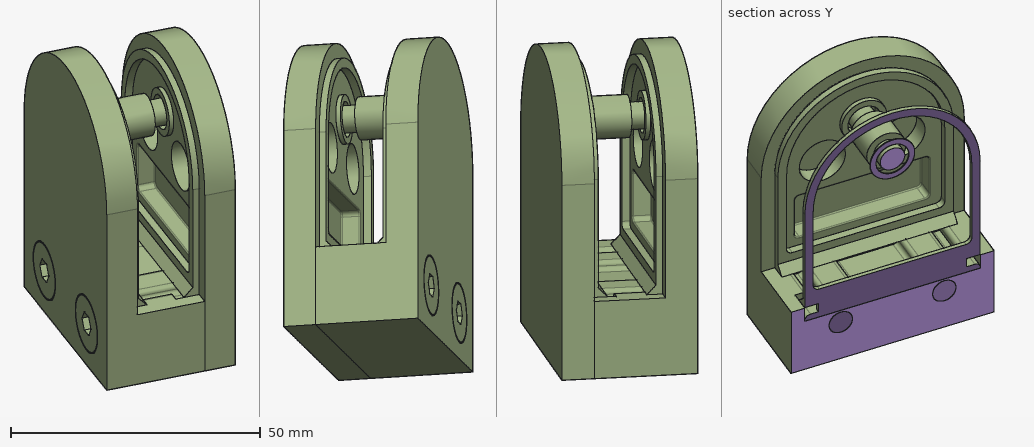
import cadquery as cq
import math

width = 45.0
height = 63.0
depth = 27.7
half_width = width / 2
half_depth = depth / 2
plate_thickness = 6.6
arch_z = height - half_width
slot_half = half_depth - plate_thickness
seat_depth = 0.25
seat_y = slot_half + seat_depth
floor_z = 16.05

gasket_half_width = 19.45
gasket_stand_out = 1.4
frame_inner_half_width = 17.5
frame_opening_z = 19.9
frame_corner_radius = 1.25
foot_size = 1.9
web_drop = 2.0
web_thickness = 1.4
web_half_width = 16.45
web_end_radius = 1.25
web_top_z = floor_z - web_drop
web_bottom_z = web_top_z - web_thickness
bump_x = 10.6
bump_half_flat = 2.5
bump_radius = web_drop / 2

tab_back_y = 2.2
tab_edge_radius = 1.15

pin_z = 47.95
pin_radius = 2.8
pin_insertion = 3.15
collar_radius = 4.35
collar_half_length = 3.8
boss_radius = 5.0
boss_height = 0.95
boss_bore_radius = 3.6
boss_bore_depth = 2.5

pocket_depth = 3.9
round_pocket_radius = 5.1
round_pocket_x = 8.8
round_pocket_z = 39.95
window_half_width = 14.9
window_bottom_z = 21.9
window_top_z = 32.7
window_corner_radius = 1.0
window_edge_radius = 0.25

screw_x = 11.45
screw_z = 9.5
head_radius = 5.85
head_bore_radius = 6.1
head_depth = 3.15
shank_radius = 2.5
screw_length = 23.95
socket_flats = 4.2
socket_depth = 2.5
socket_cone_depth = 1.25


def arch(y_start, y_end, half, bottom_z):
    """Round-topped slab between two Y planes."""
    return (
        cq.Workplane("XZ", origin=(0, y_start, 0))
        .moveTo(-half, bottom_z)
        .lineTo(-half, arch_z)
        .threePointArc((0, arch_z + half), (half, arch_z))
        .lineTo(half, bottom_z)
        .close()
        .extrude(y_start - y_end)
    )


def box(x_half, y_start, y_end, z_start, z_end):
    """Block centred on X = 0."""
    block = cq.Workplane("XY").box(
        2 * x_half, y_end - y_start, z_end - z_start, centered=(True, False, False)
    )
    return block.translate((0, y_start, z_start))


def rod(x, z, radius, y_start, y_end):
    """Round bar along Y."""
    return cq.Workplane("XZ", origin=(x, y_start, z)).circle(radius).extrude(y_start - y_end)


def mirrored(shape):
    return shape.mirror("XZ")


def gasket_seat():
    return arch(slot_half, seat_y, gasket_half_width, floor_z)


def face_boss():
    return rod(0, pin_z, boss_radius, seat_y - boss_height, seat_y)


def pin_hole():
    bore_start_y = seat_y - boss_height
    bore_end_y = bore_start_y + boss_bore_depth
    bore = rod(0, pin_z, boss_bore_radius, bore_start_y, bore_end_y)
    seat = rod(0, pin_z, pin_radius, bore_end_y, bore_end_y + pin_insertion)
    return bore.union(seat)


def cut_window(plate):
    pocket = box(window_half_width, seat_y, seat_y + pocket_depth, window_bottom_z, window_top_z)
    pocket = pocket.edges("|Y").fillet(window_corner_radius).faces(">Y").edges().fillet(window_edge_radius)
    mouth_edge = cq.selectors.NearestToPointSelector((0, seat_y, window_bottom_z))
    return plate.cut(pocket).edges(mouth_edge).fillet(window_edge_radius)


def shape_inner_face(plate):
    """Seat, boss, pin hole and pockets on the inner face of a plate at +Y."""
    plate = plate.cut(gasket_seat()).union(face_boss()).cut(pin_hole())
    for side in (-1, 1):
        plate = plate.cut(
            rod(side * round_pocket_x, round_pocket_z, round_pocket_radius, seat_y, seat_y + pocket_depth)
        )
    return cut_window(plate)


def screw_holes():
    holes = cq.Workplane("XY")
    for side in (-1, 1):
        x = side * screw_x
        holes = holes.add(rod(x, screw_z, head_bore_radius, -half_depth, head_depth - half_depth))
        holes = holes.add(rod(x, screw_z, shank_radius, -half_depth, screw_length - half_depth))
    return holes.combine()


def web_recess():
    """Space in the base for the gasket web, narrowed by a tab at each side."""
    wide = box(gasket_half_width, tab_back_y, slot_half, web_bottom_z, floor_z)
    narrow = box(web_half_width, -slot_half, tab_back_y, web_bottom_z, floor_z)
    return wide.union(narrow)


def make_body():
    front_plate = mirrored(shape_inner_face(arch(slot_half, half_depth, half_width, 0)))
    base = box(half_width, -slot_half, slot_half, 0, floor_z).cut(web_recess())
    for side in (-1, 1):
        tab_edge = cq.selectors.NearestToPointSelector((side * web_half_width, 0, floor_z))
        base = base.edges("|Y").edges(tab_edge).fillet(tab_edge_radius)
    return front_plate.union(base).cut(screw_holes())


def make_cover():
    cover = arch(slot_half, half_depth, half_width, 0)
    return shape_inner_face(cover).cut(screw_holes())


def gasket_frame():
    """Frame on the cover side with its foot and the riser down to the web."""
    inner_y = slot_half - gasket_stand_out
    frame = arch(inner_y, seat_y, gasket_half_width, floor_z)
    opening = arch(inner_y, seat_y, frame_inner_half_width, frame_opening_z)
    frame = frame.cut(opening.edges("|Y and <Z").fillet(frame_corner_radius))
    foot = (
        cq.Workplane("YZ", origin=(-gasket_half_width, 0, 0))
        .moveTo(inner_y, floor_z)
        .lineTo(inner_y - foot_size, floor_z)
        .lineTo(inner_y, floor_z + foot_size)
        .close()
        .extrude(2 * gasket_half_width)
    )
    riser = box(web_half_width, inner_y, slot_half, web_bottom_z, floor_z)
    return frame.union(foot).union(riser)


def web_bump(x):
    """Raised strip along Y with S-shaped flanks."""
    flank = bump_half_flat + bump_radius
    bend = bump_radius * math.sqrt(0.5)
    outer = bump_half_flat + 2 * bump_radius
    mid_z = web_top_z + bump_radius
    return (
        cq.Workplane("XZ", origin=(x, -slot_half, 0))
        .moveTo(-outer, web_top_z)
        .threePointArc((-outer + bend, mid_z - bend), (-flank, mid_z))
        .threePointArc((-bump_half_flat - bend, mid_z + bend), (-bump_half_flat, floor_z))
        .lineTo(bump_half_flat, floor_z)
        .threePointArc((bump_half_flat + bend, mid_z + bend), (flank, mid_z))
        .threePointArc((outer - bend, mid_z - bend), (outer, web_top_z))
        .close()
        .extrude(-2 * slot_half)
    )


def make_gasket():
    web = box(web_half_width, -slot_half, slot_half, web_bottom_z, web_top_z)
    ends = box(gasket_half_width, tab_back_y, slot_half, web_bottom_z, web_top_z)
    web = web.union(ends.edges("|Y and >Z").fillet(web_end_radius))
    for side in (-1, 1):
        web = web.union(web_bump(side * bump_x))
    return web.union(gasket_frame()).union(mirrored(gasket_frame()))


def make_pin():
    pin_half_length = seat_y - boss_height + boss_bore_depth + pin_insertion
    stem = rod(0, pin_z, pin_radius, -pin_half_length, pin_half_length)
    return stem.union(rod(0, pin_z, collar_radius, -collar_half_length, collar_half_length))


def make_screw(x):
    face_y = -half_depth
    socket_end_y = face_y + socket_depth
    corner_radius = socket_flats / math.sqrt(3)
    head = rod(x, screw_z, head_radius, face_y, face_y + head_depth)
    shank = rod(x, screw_z, shank_radius, face_y, face_y + screw_length)
    socket = (
        cq.Workplane("XZ", origin=(x, face_y, screw_z))
        .polygon(6, 2 * corner_radius)
        .extrude(-socket_depth)
    )
    cone = cq.Workplane(
        cq.Solid.makeCone(
            corner_radius, 0, socket_cone_depth, cq.Vector(x, socket_end_y, screw_z), cq.Vector(0, 1, 0)
        )
    )
    return head.union(shank).cut(socket).cut(cone)


body = make_body()
cover = make_cover()
gasket = make_gasket()
pin = make_pin()
screws = [make_screw(side * screw_x) for side in (-1, 1)]

result = cq.Compound.makeCompound(
    [body.val(), cover.val(), gasket.val(), pin.val(), *[screw.val() for screw in screws]]
)